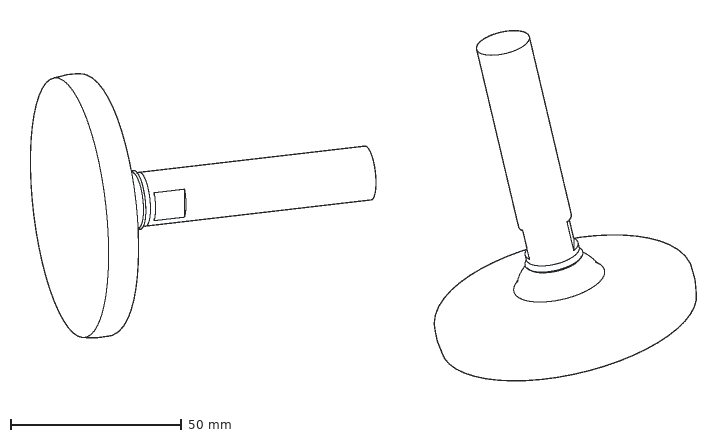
import cadquery as cq
import math

TOTAL_LENGTH = 92.0

FOOT_RADIUS = 78.0 / 2
BOTTOM_RADIUS = 38.5
WIDEST_HEIGHT = 4.2
SHOULDER_RADIUS = 38.9
SHOULDER_HEIGHT = 7.3
CONE_OUTER_RADIUS = 36.25
CONE_OUTER_HEIGHT = 9.8
CONE_INNER_RADIUS = 13.7
CONE_INNER_HEIGHT = 13.4
DOME_BASE_RADIUS = 12.5
DOME_BASE_HEIGHT = 14.9
DOME_TOP_RADIUS = 8.2
DOME_TOP_HEIGHT = 20.2
DOME_SPHERE_RADIUS = 13.8
SHOULDER_BLEND_RADIUS = 2.8

STEM_RADIUS = 16.0 / 2
COLLAR_RADIUS = 8.7
COLLAR_HEIGHT = 20.8
NECK_RADIUS = 4.6
NECK_HEIGHT = 22.0
SHAFT_START = 22.45
UNDERSIDE_RADIUS = 7.0
FLATS_START = 24.0
FLATS_END = 33.4
ACROSS_FLATS = 13.3


def arc_middle(start, end, radius):
    """Midpoint of an outward-bulging arc from start to end, each (radius, height), going inward and up."""
    run = end[0] - start[0]
    rise = end[1] - start[1]
    chord = math.hypot(run, rise)
    bulge = radius - math.sqrt(radius**2 - (chord / 2) ** 2)
    middle_x = (start[0] + end[0]) / 2 + bulge * rise / chord
    middle_y = (start[1] + end[1]) / 2 - bulge * run / chord
    return middle_x, middle_y


def revolve_about_y(profile):
    return profile.close().revolve(360, (0, 0, 0), (0, 1, 0))


def make_foot():
    """Round plate with a conical top and a central dome."""
    shoulder = (SHOULDER_RADIUS, SHOULDER_HEIGHT)
    cone_outer = (CONE_OUTER_RADIUS, CONE_OUTER_HEIGHT)
    dome_base = (DOME_BASE_RADIUS, DOME_BASE_HEIGHT)
    dome_top = (DOME_TOP_RADIUS, DOME_TOP_HEIGHT)
    profile = (
        cq.Workplane("XY")
        .lineTo(BOTTOM_RADIUS, 0)
        .lineTo(FOOT_RADIUS, WIDEST_HEIGHT)
        .lineTo(*shoulder)
        .threePointArc(arc_middle(shoulder, cone_outer, SHOULDER_BLEND_RADIUS), cone_outer)
        .lineTo(CONE_INNER_RADIUS, CONE_INNER_HEIGHT)
        .lineTo(*dome_base)
        .threePointArc(arc_middle(dome_base, dome_top, DOME_SPHERE_RADIUS), dome_top)
        .lineTo(0, DOME_TOP_HEIGHT)
    )
    return revolve_about_y(profile)


def make_stem():
    """Shaft with a grooved neck, a sharp collar resting on the dome, and two wrench flats."""
    profile = (
        cq.Workplane("XY")
        .moveTo(0, DOME_TOP_HEIGHT)
        .lineTo(DOME_TOP_RADIUS, DOME_TOP_HEIGHT)
        .lineTo(COLLAR_RADIUS, COLLAR_HEIGHT)
        .lineTo(NECK_RADIUS, NECK_HEIGHT)
        .lineTo(UNDERSIDE_RADIUS, SHAFT_START)
        .lineTo(STEM_RADIUS, SHAFT_START)
        .lineTo(STEM_RADIUS, TOTAL_LENGTH)
        .lineTo(0, TOTAL_LENGTH)
    )
    stem = revolve_about_y(profile)
    flats_length = FLATS_END - FLATS_START
    flats_middle = (FLATS_START + FLATS_END) / 2
    cutter_offset = (ACROSS_FLATS + STEM_RADIUS) / 2
    for side in (-1, 1):
        cutter = cq.Workplane("XY").box(STEM_RADIUS, flats_length, 2 * STEM_RADIUS)
        stem = stem.cut(cutter.translate((side * cutter_offset, flats_middle, 0)))
    return stem


foot = make_foot()
stem = make_stem()

result = cq.Compound.makeCompound([foot.val(), stem.solids().val()])